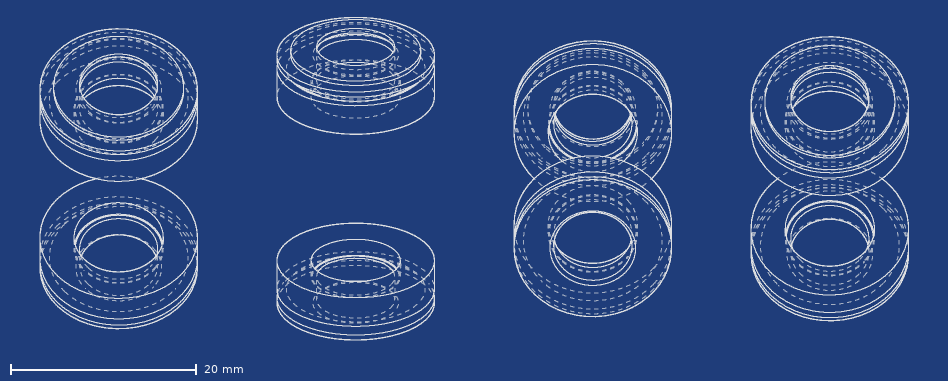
import cadquery as cq
import math

outer_diameter = 17.0
disc_bore_diameter = 8.4
seat_bore_diameter = 9.6
outer_radius = outer_diameter / 2
disc_bore_radius = disc_bore_diameter / 2
seat_bore_radius = seat_bore_diameter / 2

disc_height = 3.2
disc_rim_height = 0.63
sphere_radius = 12.0
bore_chamfer = 0.4
sphere_center_z = disc_rim_height - math.sqrt(sphere_radius**2 - outer_radius**2)

seat_height = 3.5
seat_mouth_radius = 7.48
cone_slope_angle = math.radians(30)
contact_radius = sphere_radius * math.sin(cone_slope_angle)
contact_z = sphere_center_z + sphere_radius * math.cos(cone_slope_angle)

washer_radius = 7.0
washer_thickness = 0.53
washer_height = 0.95

total_height = 31.28
upper_disc_face_z = total_height - washer_height


def sphere_radius_at(z):
    """Distance from the Z axis to the spherical face at height z."""
    return math.sqrt(sphere_radius**2 - (z - sphere_center_z) ** 2)


def cone_z_at(radius):
    """Height of the seat's conical face at a distance from the Z axis."""
    return contact_z + (contact_radius - radius) * math.tan(cone_slope_angle)


def revolve_about_z(profile):
    """Turn a closed (radius, z) profile into a ring."""
    return profile.close().revolve(360, (0, 0, 0), (0, 1, 0))


def make_spherical_disc():
    mid_z = (disc_rim_height + disc_height) / 2
    profile = (
        cq.Workplane("XZ")
        .moveTo(disc_bore_radius + bore_chamfer, 0)
        .lineTo(outer_radius, 0)
        .lineTo(outer_radius, disc_rim_height)
        .threePointArc((sphere_radius_at(mid_z), mid_z), (sphere_radius_at(disc_height), disc_height))
        .lineTo(disc_bore_radius, disc_height)
        .lineTo(disc_bore_radius, bore_chamfer)
    )
    return revolve_about_z(profile)


def make_conical_seat():
    mouth_z = cone_z_at(seat_mouth_radius)
    top_z = mouth_z + seat_height
    profile = (
        cq.Workplane("XZ")
        .moveTo(seat_mouth_radius, mouth_z)
        .lineTo(outer_radius, mouth_z)
        .lineTo(outer_radius, top_z)
        .lineTo(seat_bore_radius, top_z)
        .lineTo(seat_bore_radius, cone_z_at(seat_bore_radius))
    )
    return revolve_about_z(profile)


def make_spring_washer():
    profile = (
        cq.Workplane("XZ")
        .moveTo(washer_radius, 0)
        .lineTo(washer_radius, washer_thickness)
        .lineTo(disc_bore_radius, washer_height)
        .lineTo(disc_bore_radius, washer_height - washer_thickness)
    )
    return revolve_about_z(profile)


def place_upper(body):
    """Turn a body upside down so the flat disc face meets the spring washer."""
    return body.rotate((0, 0, 0), (1, 0, 0), 180).translate((0, 0, upper_disc_face_z))


spherical_discs = []
conical_seats = []
for upper in (False, True):
    disc = make_spherical_disc()
    seat = make_conical_seat()
    if upper:
        disc = place_upper(disc)
        seat = place_upper(seat)
    spherical_discs.append(disc.val())
    conical_seats.append(seat.val())

spring_washer = make_spring_washer().translate((0, 0, upper_disc_face_z))

result = cq.Compound.makeCompound([*spherical_discs, *conical_seats, spring_washer.val()])